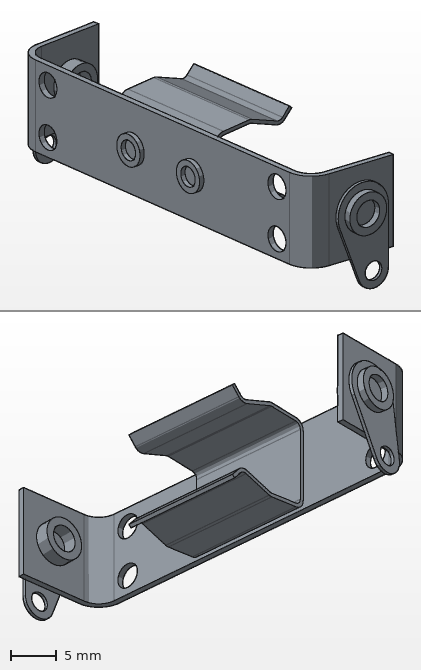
import cadquery as cq
import math


SHEET = 0.8
HEIGHT = 11.0
CORNER_HALF_SPAN = 24.05
WALL_LEAN = 3.9
WALL_LENGTH = 11.9
CHANNEL_BEND_RADIUS = 3.2
MOUNT_HOLE_DIAMETER = 2.95
MOUNT_HOLE_X = 19.0
MOUNT_HOLE_Z = 3.1

RIVET_X = 4.95
RIVET_DIAMETER = 3.85
RIVET_BORE = 2.4
RIVET_HEIGHT = 0.6

CLIP_LENGTH = 15.9
CLIP_SHEET = 0.45
SHOULDER_Z = 5.55
SHOULDER_RADIUS = 1.25
HUMP_Y = 5.95
HUMP_Z = 6.0
HUMP_RADIUS = 1.05
VALLEY_Y = 10.25
VALLEY_Z = 4.55
VALLEY_RADIUS = 0.8
TIP_Y = 11.6
TIP_Z = 6.0

LUG_SHEET = 0.4
LUG_RADIUS = 3.5
LUG_TIP_RADIUS = 2.1
LUG_REACH = 7.6
WIRE_HOLE_DIAMETER = 2.3
EYELET_DIAMETER = 5.1
EYELET_BORE = 3.2
EYELET_ALONG_WALL = 7.45
HEAD_HEIGHT = 0.9
COLLAR_HEIGHT = 1.7
LEFT_LUG_SWING = 19.5
RIGHT_LUG_SWING = -10.7


def offset_corner(before, corner, after, distance):
    """Corner of a path after the whole path is moved to its left by a distance."""
    heading_in = math.atan2(corner[1] - before[1], corner[0] - before[0])
    heading_out = math.atan2(after[1] - corner[1], after[0] - corner[0])
    half_turn = math.remainder(heading_out - heading_in, 2 * math.pi) / 2
    left = heading_in + half_turn + math.pi / 2
    reach = distance / math.cos(half_turn)
    moved = (corner[0] + reach * math.cos(left), corner[1] + reach * math.sin(left))
    return moved, half_turn > 0


def bent_sheet(plane, path, radii, thickness, width):
    """Sheet whose face follows the path, with its thickness to the left and a radius at each bend."""
    start = tuple(2 * a - b for a, b in zip(path[0], path[1]))
    end = tuple(2 * a - b for a, b in zip(path[-1], path[-2]))
    extended = [start, *path, end]
    corners = [offset_corner(*extended[i:i + 3], thickness) for i in range(len(path))]
    back = [point for point, _ in corners]

    body = cq.Workplane(plane).polyline(path + back[::-1]).close().extrude(width / 2, both=True)
    to_world = cq.Plane.named(plane).toWorldCoords
    for i, radius in enumerate(radii, start=1):
        turns_left = corners[i][1]
        back_radius = radius - thickness if turns_left else radius + thickness
        for point, corner_radius in ((path[i], radius), (back[i], back_radius)):
            nearest = cq.selectors.NearestToPointSelector(to_world(point).toTuple())
            body = body.edges(nearest).fillet(corner_radius)
    return body


def make_channel():
    """Base and two leaning walls bent from one strip, with four mounting holes in the base."""
    lean = math.radians(WALL_LEAN)
    wall_end = (CORNER_HALF_SPAN + WALL_LENGTH * math.sin(lean), WALL_LENGTH * math.cos(lean))
    path = [
        (-wall_end[0], wall_end[1]),
        (-CORNER_HALF_SPAN, 0),
        (CORNER_HALF_SPAN, 0),
        wall_end,
    ]
    channel = bent_sheet("XY", path, [CHANNEL_BEND_RADIUS] * 2, SHEET, HEIGHT)
    mount_holes = (
        cq.Workplane("XZ")
        .rect(2 * MOUNT_HOLE_X, 2 * MOUNT_HOLE_Z, forConstruction=True)
        .vertices()
        .circle(MOUNT_HOLE_DIAMETER / 2)
        .extrude(-SHEET)
    )
    return channel.cut(mount_holes)


def make_clip():
    """Back plate on the base with two mirrored arms that rise to a hump, dip and flare out."""
    upper_arm = [(TIP_Y, TIP_Z), (VALLEY_Y, VALLEY_Z), (HUMP_Y, HUMP_Z), (SHEET, SHOULDER_Z)]
    lower_arm = [(y, -z) for y, z in reversed(upper_arm)]
    arm_radii = [VALLEY_RADIUS, HUMP_RADIUS, SHOULDER_RADIUS]
    return bent_sheet("YZ", upper_arm + lower_arm, arm_radii + arm_radii[::-1], CLIP_SHEET, CLIP_LENGTH)


def make_rivets():
    """Ring-shaped rivet heads on the outer face of the base."""
    centers = [(-RIVET_X, 0), (RIVET_X, 0)]
    rings = cq.Workplane("XZ").pushPoints(centers).circle(RIVET_DIAMETER / 2).circle(RIVET_BORE / 2)
    return rings.extrude(RIVET_HEIGHT)


def place_on_wall(body, side):
    """Move a body built on the YZ plane, +X outward, onto the right (1) or left (-1) wall."""
    if side < 0:
        body = body.mirror("YZ")
    leaned = body.rotate((0, 0, 0), (0, 0, 1), -side * WALL_LEAN)
    return leaned.translate((side * CORNER_HALF_SPAN, 0, 0))


def eyelet_cylinder(diameter, start, end):
    """Cylinder on the eyelet axis between two distances outward from the wall's outer face."""
    disc = cq.Workplane("YZ", origin=(start, EYELET_ALONG_WALL, 0)).circle(diameter / 2)
    return disc.extrude(end - start)


def make_terminal(side, swing):
    """Solder lug on the outer face of a wall with an eyelet through it, bored from both ends."""
    tangent_cos = (LUG_RADIUS - LUG_TIP_RADIUS) / LUG_REACH
    tangent_sin = math.sqrt(1 - tangent_cos ** 2)

    def rim(radius, center_z, across, down):
        return EYELET_ALONG_WALL + across * radius, center_z - down * radius

    big = [rim(LUG_RADIUS, 0, sign * tangent_sin, tangent_cos) for sign in (-1, 1)]
    small = [rim(LUG_TIP_RADIUS, -LUG_REACH, sign * tangent_sin, tangent_cos) for sign in (-1, 1)]
    lug = (
        cq.Workplane("YZ")
        .moveTo(*big[0])
        .threePointArc((EYELET_ALONG_WALL, LUG_RADIUS), big[1])
        .lineTo(*small[1])
        .threePointArc((EYELET_ALONG_WALL, -LUG_REACH - LUG_TIP_RADIUS), small[0])
        .close()
        .moveTo(EYELET_ALONG_WALL, -LUG_REACH)
        .circle(WIRE_HOLE_DIAMETER / 2)
        .extrude(LUG_SHEET)
        .rotate((0, EYELET_ALONG_WALL, 0), (1, EYELET_ALONG_WALL, 0), -swing)
    )
    head_face = LUG_SHEET + HEAD_HEIGHT
    collar_face = -SHEET - COLLAR_HEIGHT
    terminal = (
        lug.union(eyelet_cylinder(EYELET_DIAMETER, collar_face, head_face))
        .cut(eyelet_cylinder(EYELET_BORE, LUG_SHEET, head_face))
        .cut(eyelet_cylinder(EYELET_BORE, collar_face, -SHEET))
    )
    return place_on_wall(terminal, side)


def make_holder():
    """Channel with its riveted clip, and a hole in each wall for a terminal eyelet."""
    holder = make_channel().union(make_clip()).union(make_rivets())
    eyelet_hole = eyelet_cylinder(EYELET_DIAMETER, -SHEET, 0)
    for side in (-1, 1):
        holder = holder.cut(place_on_wall(eyelet_hole, side))
    return holder


holder = make_holder()
terminals = [make_terminal(side, swing) for side, swing in ((-1, LEFT_LUG_SWING), (1, RIGHT_LUG_SWING))]

result = cq.Compound.makeCompound([holder.val(), *[terminal.val() for terminal in terminals]])